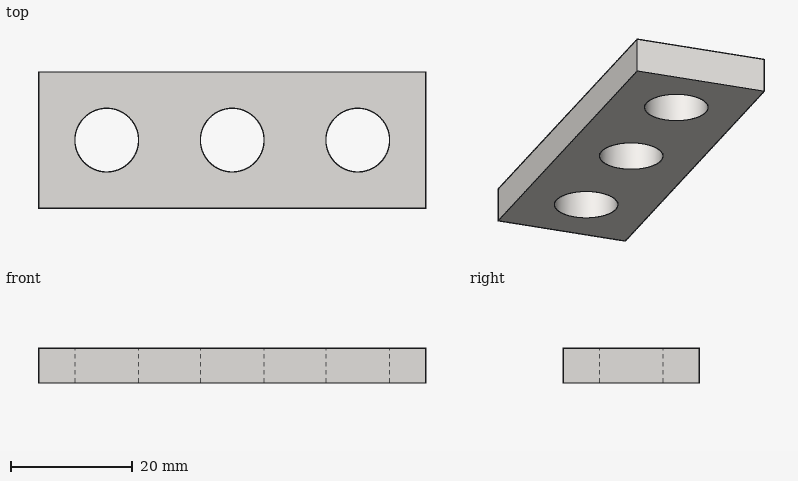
import cadquery as cq

length = 63.5
width = 22.35
thickness = 5.75

hole_diameter = 10.41
hole_count = 3
end_margin = width / 2
hole_pitch = (length - 2 * end_margin) / (hole_count - 1)


def make_bar():
    """Plain rectangular bar centred on the origin."""
    return cq.Workplane("XY").box(length, width, thickness)


def drill_holes(bar):
    """Drill the evenly spaced row of holes through the thickness."""
    return (
        bar.faces(">Z")
        .workplane()
        .rarray(hole_pitch, width, hole_count, 1)
        .hole(hole_diameter)
    )


result = drill_holes(make_bar())